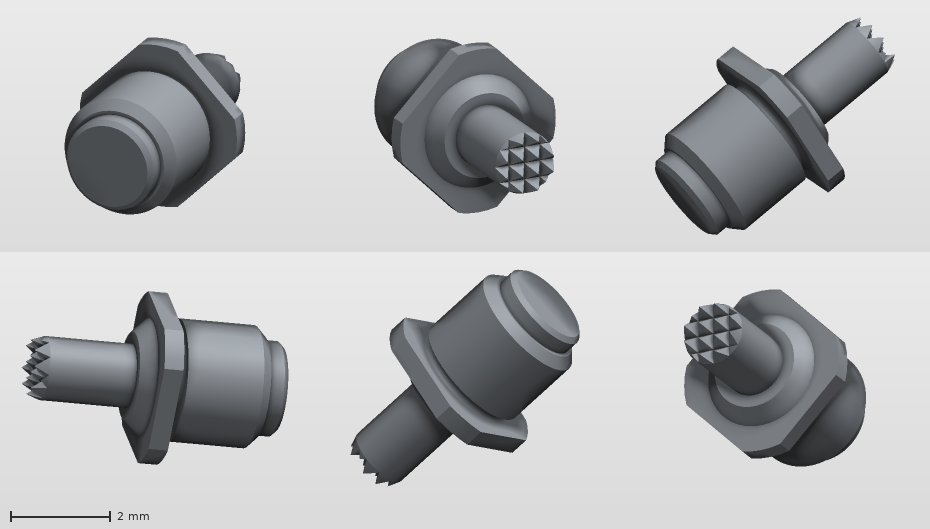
import cadquery as cq
import math

overall_length = 5.2
serration_depth = 0.3
serration_root_y = overall_length - serration_depth
plunger_chamfer = 0.1
barrel_front_y = 0.4
barrel_chamfer = 0.2
barrel_rear_y = 2.18
neck_groove_radius = 0.11
neck_groove_y = barrel_rear_y + neck_groove_radius
flange_front_y = neck_groove_y + neck_groove_radius
flange_thickness = 0.4
flange_rear_y = flange_front_y + flange_thickness
shoulder_length = 0.3
shoulder_rear_y = flange_rear_y + shoulder_length

plunger_radius = 0.965
barrel_radius = 1.25
neck_radius = 1.065
flange_radius = 1.745
flange_across_flats = 3.0
shoulder_front_radius = 1.2
shoulder_rear_radius = shoulder_front_radius - shoulder_length
shaft_radius = 0.65

serration_half_angle = math.radians(30)
serration_pitch = 2 * serration_depth * math.tan(serration_half_angle)
serration_groove_count = 3
head_tip_radius = 0.545


def turned_body():
    """Plunger, barrel, neck, shoulder and shaft: one half profile turned about the Y axis."""
    groove_edge_radius = neck_radius + neck_groove_radius
    return (
        cq.Workplane("XY")
        .lineTo(plunger_radius - plunger_chamfer, 0)
        .lineTo(plunger_radius, plunger_chamfer)
        .lineTo(plunger_radius, barrel_front_y)
        .lineTo(barrel_radius - barrel_chamfer, barrel_front_y)
        .lineTo(barrel_radius, barrel_front_y + barrel_chamfer)
        .lineTo(barrel_radius, barrel_rear_y)
        .lineTo(groove_edge_radius, barrel_rear_y)
        .threePointArc((neck_radius, neck_groove_y), (groove_edge_radius, flange_front_y))
        .lineTo(shoulder_front_radius, flange_front_y)
        .lineTo(shoulder_front_radius, flange_rear_y)
        .lineTo(shoulder_rear_radius, shoulder_rear_y)
        .lineTo(shaft_radius, shoulder_rear_y)
        .lineTo(shaft_radius, serration_root_y)
        .lineTo(head_tip_radius, overall_length)
        .lineTo(0, overall_length)
        .close()
        .revolve(360, (0, 0, 0), (0, 1, 0))
    )


def flange():
    """Square plate standing on its corner, with the corners rounded to a common circle."""
    disc = cq.Workplane("XZ", origin=(0, flange_rear_y, 0)).circle(flange_radius).extrude(flange_thickness)
    square = (
        cq.Workplane("XZ", origin=(0, flange_rear_y, 0))
        .rect(flange_across_flats, flange_across_flats)
        .extrude(flange_thickness)
        .rotate((0, 0, 0), (0, 1, 0), 45)
    )
    return disc.intersect(square)


def serration_groove(offset):
    """One V groove running along Z, its root at X = offset."""
    return (
        cq.Workplane("XY")
        .moveTo(offset, serration_root_y)
        .lineTo(offset + serration_pitch / 2, overall_length)
        .lineTo(offset - serration_pitch / 2, overall_length)
        .close()
        .extrude(2 * shaft_radius, both=True)
    )


result = turned_body().union(flange())
for index in range(serration_groove_count):
    groove_offset = (index - (serration_groove_count - 1) / 2) * serration_pitch
    groove = serration_groove(groove_offset)
    result = result.cut(groove).cut(groove.rotate((0, 0, 0), (0, 1, 0), 90))